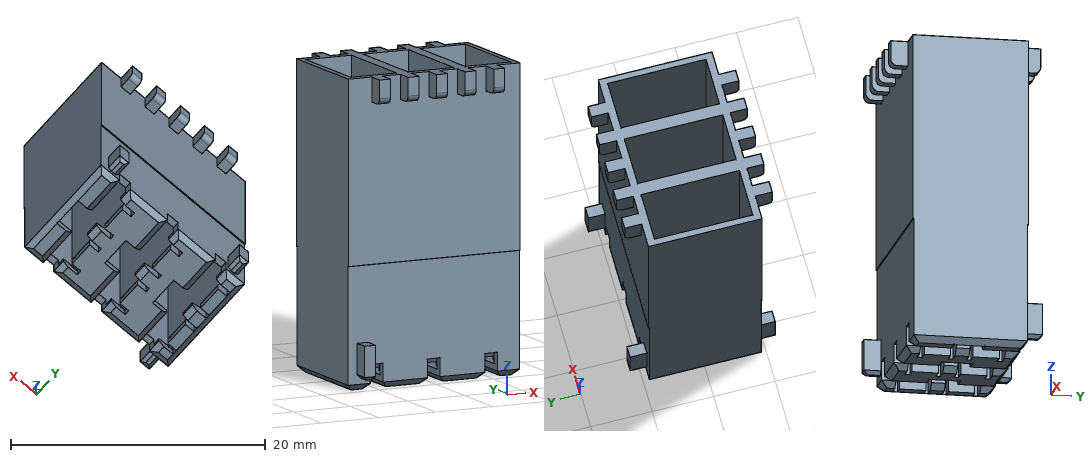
import cadquery as cq
import math

LENGTH = 15.0
HEIGHT = 25.0
UPPER_WIDTH = 9.25
LOWER_WIDTH = 9.1
STEP_HEIGHT = 10.0
FOOT_CHAMFER = 0.5

CELL_PITCH = 5.0
CELL_LENGTH = 4.0
CELL_WIDTH = 8.0
CELL_CENTERS = (-CELL_PITCH, 0, CELL_PITCH)

SLOT_WIDTH = 1.1
SLOT_HEIGHT = 2.0

RIM_TAB_COUNT = 5
RIM_TAB_PITCH = CELL_PITCH / 2
RIM_TAB_HEIGHT = 2.0
RIM_TAB_REACH = 6.0
RIM_TAB_FILLET = 0.5
TAB_WIDTH = 0.95

KEY_X = 6.25
KEY_BOTTOM = 1.0
KEY_HEIGHT = 2.8
KEY_REACH = 5.9
KEY_CHAMFER = 0.3

PAD_HEIGHT = 1.0
PAD_LENGTH = (CELL_LENGTH - SLOT_WIDTH) / 2
RIGHT_PAD_INNER_Y = 1.25
RIGHT_RAMP_LENGTH = 0.75
RIGHT_RAMP_INNER_Y = 2.35
LEFT_RAMP_LENGTH = 0.9
LEFT_RAMP_INNER_Y = 0.9
LEFT_RAMP_OUTER_Y = 3.0
CORNER_PAD_WIDTH = 0.6
GUSSET_LENGTH = 0.8
GUSSET_WIDTH = 0.62
GUSSET_HEIGHT = 2.1
CENTER_PAD_WIDTH = 1.1
CENTER_PAD_SLOPE = math.radians(25)
RAMP_SLOPE = math.radians(75)
WALL_OVERLAP = 0.2


def block(x0, x1, y0, y1, z0, z1):
    """Box between two opposite corners."""
    return cq.Workplane("XY").box(x1 - x0, y1 - y0, z1 - z0, centered=False).translate((x0, y0, z0))


def prism_along_y(points, y0, y1):
    """XZ outline extruded from y0 to y1."""
    return cq.Workplane("XZ", origin=(0, y1, 0)).polyline(points).close().extrude(y1 - y0)


def with_mirror(shape):
    """The shape together with its mirror image across the XZ plane."""
    return shape.union(shape.mirror("XZ"))


def make_shell():
    half_length = LENGTH / 2
    lower = block(-half_length, half_length, -LOWER_WIDTH / 2, LOWER_WIDTH / 2, 0, STEP_HEIGHT)
    lower = lower.faces("<Z").chamfer(FOOT_CHAMFER)
    upper = block(-half_length, half_length, -UPPER_WIDTH / 2, UPPER_WIDTH / 2, STEP_HEIGHT, HEIGHT)
    shell = lower.union(upper)
    for center in CELL_CENTERS:
        cell = cq.Workplane("XY").box(CELL_LENGTH, CELL_WIDTH, HEIGHT, centered=(True, True, False))
        shell = shell.cut(cell.translate((center, 0, 0)))
    return shell


def make_rim_tab(x):
    tab = block(x - TAB_WIDTH / 2, x + TAB_WIDTH / 2, CELL_WIDTH / 2, RIM_TAB_REACH,
                HEIGHT - RIM_TAB_HEIGHT, HEIGHT)
    return with_mirror(tab.faces(">Y").edges("<Z").fillet(RIM_TAB_FILLET))


def make_key_tab(x):
    tab = block(x - TAB_WIDTH / 2, x + TAB_WIDTH / 2, CELL_WIDTH / 2 + WALL_OVERLAP, KEY_REACH,
                KEY_BOTTOM, KEY_BOTTOM + KEY_HEIGHT)
    outer_edges = tab.faces("<Z").edges(">Y or <X or >X")
    return outer_edges.chamfer(KEY_CHAMFER)


def make_wall_block(wall_x, inward, length, y0, y1, slope=0.0):
    """Pad-high block on an end wall of a cell, its top rising toward the wall at the given slope."""
    sunk_x = wall_x - inward * WALL_OVERLAP
    tip_x = wall_x + inward * length
    ramp_top = PAD_HEIGHT + length * math.tan(slope)
    outline = [(sunk_x, 0), (tip_x, 0), (tip_x, PAD_HEIGHT), (wall_x, ramp_top), (sunk_x, ramp_top)]
    return prism_along_y(outline, y0, y1)


def make_corner_gusset(wall_x):
    """Steep triangular pyramid filling the cell corner above the left corner pad."""
    side_y = CELL_WIDTH / 2
    base = cq.Vector(wall_x, side_y, PAD_HEIGHT)
    along_side = base + cq.Vector(GUSSET_LENGTH, 0, 0)
    along_end = base - cq.Vector(0, GUSSET_WIDTH, 0)
    apex = base + cq.Vector(0, 0, GUSSET_HEIGHT)
    triangles = (
        (base, along_side, along_end),
        (base, along_side, apex),
        (base, along_end, apex),
        (along_side, along_end, apex),
    )
    faces = [cq.Face.makeFromWires(cq.Wire.makePolygon(corners, close=True)) for corners in triangles]
    return cq.Workplane(cq.Solid.makeSolid(cq.Shell.makeShell(faces)))


def make_cell_pads(center):
    left = center - CELL_LENGTH / 2
    right = center + CELL_LENGTH / 2
    side_y = CELL_WIDTH / 2
    sunk_y = side_y + WALL_OVERLAP
    right_pad = make_wall_block(right, -1, PAD_LENGTH, RIGHT_PAD_INNER_Y, sunk_y)
    right_ramp = make_wall_block(right, -1, RIGHT_RAMP_LENGTH, RIGHT_RAMP_INNER_Y, sunk_y, RAMP_SLOPE)
    left_ramp = make_wall_block(left, 1, LEFT_RAMP_LENGTH, LEFT_RAMP_INNER_Y, LEFT_RAMP_OUTER_Y, RAMP_SLOPE)
    corner_pad = make_wall_block(left, 1, PAD_LENGTH, side_y - CORNER_PAD_WIDTH, sunk_y)
    gusset = make_corner_gusset(left)
    pads = with_mirror(right_pad.union(right_ramp).union(left_ramp).union(corner_pad).union(gusset))
    half_width = CENTER_PAD_WIDTH / 2
    return pads.union(make_wall_block(left, 1, PAD_LENGTH, -half_width, half_width, CENTER_PAD_SLOPE))


def make_foot_slot(center):
    """Slot through the foot in Y, flared at the bottom to chamfer its edges."""
    half = SLOT_WIDTH / 2
    flare = half + FOOT_CHAMFER
    outline = [(-flare, 0), (-half, FOOT_CHAMFER), (-half, SLOT_HEIGHT),
               (half, SLOT_HEIGHT), (half, FOOT_CHAMFER), (flare, 0)]
    return prism_along_y(outline, -LOWER_WIDTH / 2, LOWER_WIDTH / 2).translate((center, 0, 0))


def trim_to_foot(pads):
    """Keep the pads inside the chamfered outline of the foot."""
    envelope = block(-LENGTH / 2, LENGTH / 2, -LOWER_WIDTH / 2, LOWER_WIDTH / 2, 0, STEP_HEIGHT)
    return pads.intersect(envelope.faces("<Z").chamfer(FOOT_CHAMFER))


result = make_shell()
for cell_center in CELL_CENTERS:
    result = result.union(trim_to_foot(make_cell_pads(cell_center)))
for cell_center in CELL_CENTERS:
    result = result.cut(make_foot_slot(cell_center))
for index in range(RIM_TAB_COUNT):
    result = result.union(make_rim_tab((index - (RIM_TAB_COUNT - 1) / 2) * RIM_TAB_PITCH))

result = result.union(make_key_tab(-KEY_X))
result = result.union(make_key_tab(KEY_X))
result = result.union(make_key_tab(-KEY_X).mirror("XZ"))